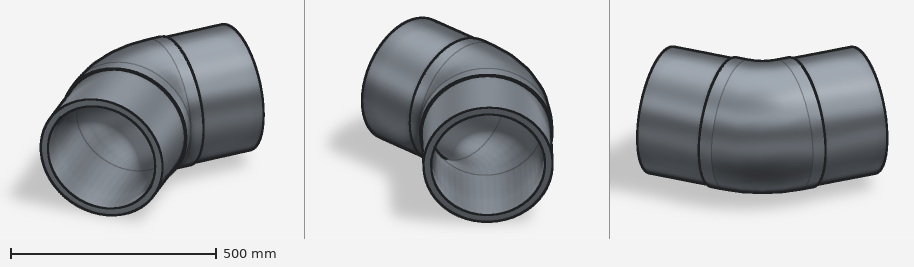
import math

import cadquery as cq

bend_angle = 45
bend_diameter = 322.5
pipe_diameter = 315.0
bore_diameter = 277.5
leg_length = 198.0
collar_length = 34.0
inner_corner_radius = 0.5


def bend_radius(diameter):
    """Centreline radius of a bend with the given section diameter."""
    return diameter / 2 + inner_corner_radius


def tangent_length(diameter):
    """Distance from the axis intersection to either end of the bend."""
    return bend_radius(diameter) * math.tan(math.radians(bend_angle / 2))


def bend(diameter):
    """Round section swept from the -Y leg to the angled leg."""
    radius = bend_radius(diameter)
    return (
        cq.Workplane("XZ", origin=(0, -tangent_length(diameter), 0))
        .circle(diameter / 2)
        .revolve(bend_angle, (radius, 0, 0), (radius, -1, 0))
    )


def legs(diameter, start, end):
    """Cylinders on both pipe axes, from start to end measured from the axis intersection."""
    first_leg = cq.Workplane("XZ", origin=(0, -start, 0)).circle(diameter / 2).extrude(end - start)
    second_leg = first_leg.mirror("XZ").rotate((0, 0, 0), (0, 0, 1), -bend_angle)
    return first_leg.union(second_leg)


outer_bend_end = tangent_length(bend_diameter)
collar_end = outer_bend_end + collar_length
pipe_end = outer_bend_end + leg_length

outside = (
    bend(bend_diameter)
    .union(legs(bend_diameter, outer_bend_end, collar_end))
    .union(legs(pipe_diameter, collar_end, pipe_end))
)

bore_bend_end = tangent_length(bore_diameter)
bore = bend(bore_diameter).union(legs(bore_diameter, bore_bend_end, pipe_end))

result = outside.cut(bore)